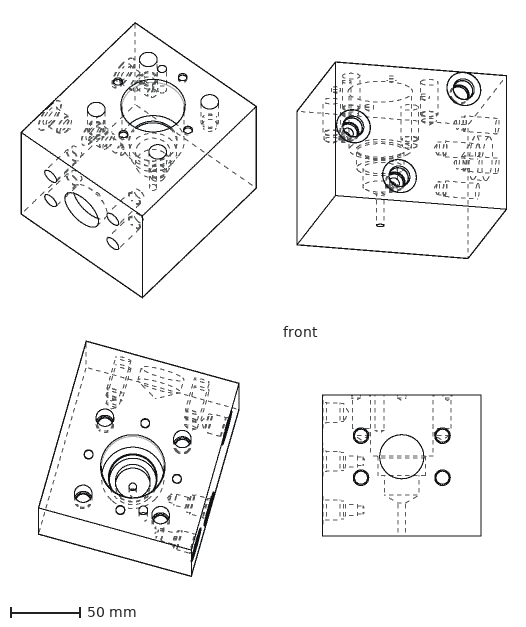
import cadquery as cq
import math

WIDTH = 114.3
LENGTH = 127.0
HEIGHT = 101.6

POINT_ANGLE = 118.0

CAVITY_X = WIDTH / 2
CAVITY_Y = 79.4
BORE_DIAMETER = 45.0
BORE_MOUTH_DIAMETER = 46.5
BORE_LEAD_DEPTH = 2.8
BORE_DEPTH = 44.0
SEAT_DIAMETER = 34.0
SEAT_MOUTH_DIAMETER = 35.0
SEAT_LEAD_DEPTH = 1.3
SEAT_DEPTH = 58.0
DRILL_DIAMETER = 25.0
DRILL_DEPTH = 72.0
PILOT_DIAMETER = 5.3

COVER_BOLT_OFFSET = 29.0
COVER_THREAD_DIAMETER = 12.7
COVER_DRILL_DIAMETER = 10.7
COVER_THREAD_DEPTH = 24.1
COVER_DRILL_DEPTH = 29.2

CROSS_HOLE_OFFSET = 33.0
CROSS_HOLE_DEPTH = 2.0
CONTROL_HOLE_OFFSET_X = -16.0
CONTROL_HOLE_DEPTH = 25.4
SMALL_HOLE_DIAMETER = 6.4

PORT_X = WIDTH / 2
PORT_Z = 57.2
PORT_DIAMETER = 31.8
PORT_DEPTH = 9.5
FLANGE_PITCH_X = 58.7
FLANGE_PITCH_Z = 30.2
FLANGE_THREAD_DIAMETER = 11.2
FLANGE_DRILL_DIAMETER = 9.4
FLANGE_THREAD_DEPTH = 24.1
FLANGE_DRILL_DEPTH = 29.2

ORIFICE_PORTS = [(113.5, 53.8), (CAVITY_Y, 18.8)]
PLAIN_PORT = (31.6, 88.9)
SPOTFACE_DIAMETER = 25.0
SPOTFACE_DEPTH = 0.5
SEAL_MOUTH_DIAMETER = 15.5
SEAL_END_DIAMETER = 14.5
SEAL_DEPTH = 2.9
THREAD_DIAMETER = 14.2
THREAD_DEPTH = 12.7
TAP_DRILL_DIAMETER = 13.0
TAP_DRILL_DEPTH = 15.2
ORIFICE_THREAD_DIAMETER = 8.0
ORIFICE_THREAD_DEPTH = 25.4
ORIFICE_DRILL_DIAMETER = 6.0
ORIFICE_DRILL_DEPTH = 29.2

HOLE_TURNS = {
    "+Y": ((1, 0, 0), 0),
    "-Z": ((1, 0, 0), -90),
    "+X": ((0, 0, 1), -90),
}


def point_length(diameter):
    """Length of the drill point below a hole of this diameter."""
    return diameter / 2 / math.tan(math.radians(POINT_ANGLE / 2))


def turned_hole(steps, position, direction):
    """Solid of a round hole, from (diameter, depth) corners listed from the mouth inwards."""
    corners = [(0, 0)] + [(diameter / 2, depth) for diameter, depth in steps]
    solid = cq.Workplane("XY").polyline(corners).close().revolve(360, (0, 0), (0, 1)).val()
    axis, angle = HOLE_TURNS[direction]
    return solid.rotate(cq.Vector(), cq.Vector(*axis), angle).translate(cq.Vector(*position))


def drilled_steps(diameter, depth):
    """Corners of a blind hole with a drill point; depth is the full-diameter depth."""
    return [(diameter, 0), (diameter, depth), (0, depth + point_length(diameter))]


def tapped_steps(thread_diameter, thread_depth, drill_diameter, drill_depth):
    """Corners of a threaded hole above a deeper tap drill with a drill point."""
    return [
        (thread_diameter, 0),
        (thread_diameter, thread_depth),
        (drill_diameter, thread_depth),
        (drill_diameter, drill_depth),
        (0, drill_depth + point_length(drill_diameter)),
    ]


def cavity_holes():
    steps = [
        (BORE_MOUTH_DIAMETER, 0),
        (BORE_DIAMETER, BORE_LEAD_DEPTH),
        (BORE_DIAMETER, BORE_DEPTH),
        (SEAT_MOUTH_DIAMETER, BORE_DEPTH),
        (SEAT_DIAMETER, BORE_DEPTH + SEAT_LEAD_DEPTH),
        (SEAT_DIAMETER, SEAT_DEPTH),
        (DRILL_DIAMETER, SEAT_DEPTH),
        (DRILL_DIAMETER, DRILL_DEPTH),
        (0, DRILL_DEPTH + point_length(DRILL_DIAMETER)),
    ]
    mouth = (CAVITY_X, CAVITY_Y, HEIGHT)
    pilot = [(PILOT_DIAMETER, 0), (PILOT_DIAMETER, HEIGHT), (0, HEIGHT)]
    return [turned_hole(steps, mouth, "-Z"), turned_hole(pilot, mouth, "-Z")]


def cover_holes():
    def top_hole(steps, dx, dy):
        return turned_hole(steps, (CAVITY_X + dx, CAVITY_Y + dy, HEIGHT), "-Z")

    bolt = tapped_steps(COVER_THREAD_DIAMETER, COVER_THREAD_DEPTH, COVER_DRILL_DIAMETER, COVER_DRILL_DEPTH)
    cross = drilled_steps(SMALL_HOLE_DIAMETER, CROSS_HOLE_DEPTH)
    control = drilled_steps(SMALL_HOLE_DIAMETER, CONTROL_HOLE_DEPTH)
    holes = [top_hole(control, CONTROL_HOLE_OFFSET_X, COVER_BOLT_OFFSET)]
    for side in (-1, 1):
        holes.append(top_hole(cross, side * CROSS_HOLE_OFFSET, 0))
        holes.append(top_hole(cross, 0, side * CROSS_HOLE_OFFSET))
        for end in (-1, 1):
            holes.append(top_hole(bolt, side * COVER_BOLT_OFFSET, end * COVER_BOLT_OFFSET))
    return holes


def flange_holes():
    port = drilled_steps(PORT_DIAMETER, PORT_DEPTH)
    bolt = tapped_steps(
        FLANGE_THREAD_DIAMETER, FLANGE_THREAD_DEPTH, FLANGE_DRILL_DIAMETER, FLANGE_DRILL_DEPTH
    )
    holes = [turned_hole(port, (PORT_X, 0, PORT_Z), "+Y")]
    for side in (-1, 1):
        for level in (-1, 1):
            x = PORT_X + side * FLANGE_PITCH_X / 2
            z = PORT_Z + level * FLANGE_PITCH_Z / 2
            holes.append(turned_hole(bolt, (x, 0, z), "+Y"))
    return holes


def control_ports():
    threaded = [
        (SPOTFACE_DIAMETER, 0),
        (SPOTFACE_DIAMETER, SPOTFACE_DEPTH),
        (SEAL_MOUTH_DIAMETER, SPOTFACE_DEPTH),
        (SEAL_END_DIAMETER, SEAL_DEPTH),
        (THREAD_DIAMETER, SEAL_DEPTH),
        (THREAD_DIAMETER, THREAD_DEPTH),
        (TAP_DRILL_DIAMETER, THREAD_DEPTH),
    ]
    port = threaded + drilled_steps(TAP_DRILL_DIAMETER, TAP_DRILL_DEPTH)[1:]
    orifice = tapped_steps(
        ORIFICE_THREAD_DIAMETER, ORIFICE_THREAD_DEPTH, ORIFICE_DRILL_DIAMETER, ORIFICE_DRILL_DEPTH
    )
    holes = [turned_hole(port, (0, *PLAIN_PORT), "+X")]
    for place in ORIFICE_PORTS:
        holes.append(turned_hole(port, (0, *place), "+X"))
        holes.append(turned_hole(orifice, (0, *place), "+X"))
    return holes


result = cq.Workplane("XY").box(WIDTH, LENGTH, HEIGHT, centered=False)
for hole in cavity_holes() + cover_holes() + flange_holes() + control_ports():
    result = result.cut(cq.Workplane(hole))